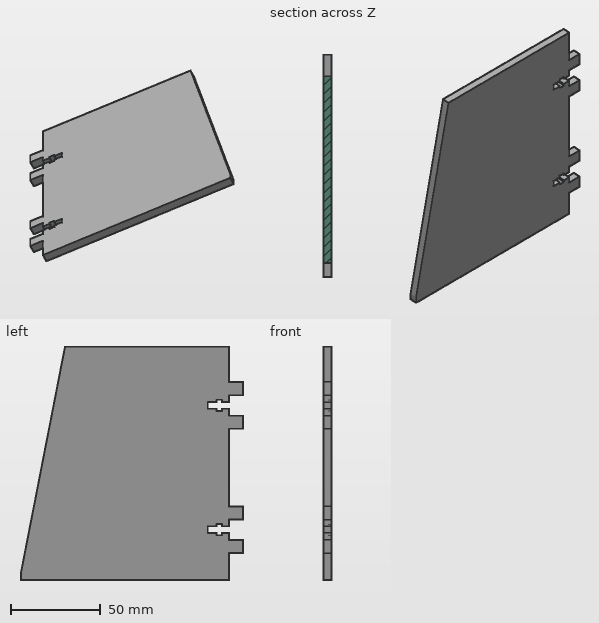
import cadquery as cq

thickness = 4.6
height = 130.5
overall_depth = 124.2
top_setback = 24.7
foot_height = 4.0

joint_heights = (28.2, 97.6)
tab_length = 7.8
tab_width = 7.5
tab_gap = 11.4
slot_depth = 11.9
slot_width = 3.7
nut_pocket_setback = 4.0
nut_pocket_length = 3.0
nut_pocket_width = 6.1

tab_end = -overall_depth / 2
plate_edge = tab_end + tab_length
back_edge = overall_depth / 2


def block(y_start, length, z_center, width):
    """Full-thickness block running in +Y from y_start."""
    return cq.Workplane("XY").box(thickness, length, width).translate(
        (0, y_start + length / 2, z_center)
    )


def plate():
    """Plate outline with one slanted edge."""
    outline = [
        (plate_edge, 0),
        (back_edge, 0),
        (back_edge, foot_height),
        (back_edge - top_setback, height),
        (plate_edge, height),
    ]
    return cq.Workplane("YZ").polyline(outline).close().extrude(thickness / 2, both=True)


def add_joint(body, z_center):
    """Add a pair of tabs and cut the T-slot midway between them."""
    tab_offset = (tab_gap + tab_width) / 2
    for side in (-1, 1):
        tab = block(tab_end, 2 * tab_length, z_center + side * tab_offset, tab_width)
        body = body.union(tab)
    slot = block(plate_edge, slot_depth, z_center, slot_width)
    nut_pocket = block(
        plate_edge + nut_pocket_setback, nut_pocket_length, z_center, nut_pocket_width
    )
    return body.cut(slot).cut(nut_pocket)


result = plate()
for joint_height in joint_heights:
    result = add_joint(result, joint_height)